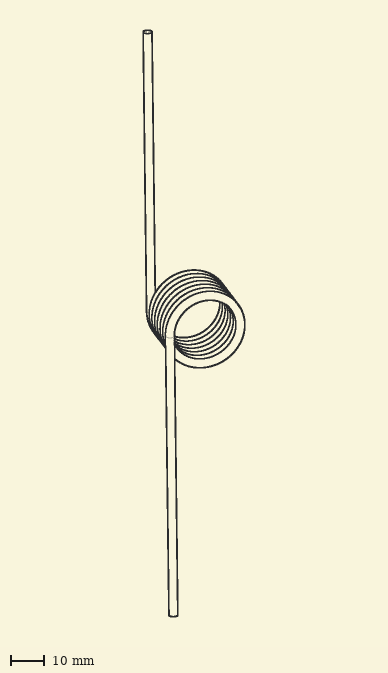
import cadquery as cq
import math


WIRE_DIAMETER = 2.7
OUTER_DIAMETER = 24.94
PITCH = 2.716
TURNS = 7
LEG_END_HEIGHT = 88.834

WIRE_RADIUS = WIRE_DIAMETER / 2
MEAN_RADIUS = (OUTER_DIAMETER - WIRE_DIAMETER) / 2
COIL_LENGTH = PITCH * TURNS
HELIX_SLOPE = PITCH / (2 * math.pi * MEAN_RADIUS)
LEG_DRIFT = LEG_END_HEIGHT * HELIX_SLOPE

WIRE_DIRECTION = cq.Vector(HELIX_SLOPE, 0, -1).normalized()
SECTION_START = cq.Vector(-1, 0, -HELIX_SLOPE)
LEG_LENGTH = math.hypot(LEG_END_HEIGHT, LEG_DRIFT)
COIL_START = cq.Vector(-COIL_LENGTH / 2, -MEAN_RADIUS, 0)
COIL_END = cq.Vector(COIL_LENGTH / 2, -MEAN_RADIUS, 0)


def wire_section(center):
    """Round wire section at a point, square to the wire."""
    plane = cq.Plane(origin=center, xDir=SECTION_START, normal=WIRE_DIRECTION)
    return cq.Workplane(plane).circle(WIRE_RADIUS)


def make_coil():
    """Helical body, starting and ending on the -Y side at the height of its axis."""
    helix = cq.Wire.makeHelix(PITCH, COIL_LENGTH, MEAN_RADIUS)
    helix = helix.rotate(cq.Vector(0, 0, 0), cq.Vector(0, 1, 0), 90)
    helix = helix.rotate(cq.Vector(0, 0, 0), cq.Vector(1, 0, 0), -90)
    helix = helix.translate(cq.Vector(-COIL_LENGTH / 2, 0, 0))
    return wire_section(COIL_START).sweep(cq.Workplane(helix), isFrenet=True)


def make_leg(start):
    """Straight leg of full length, running along the wire direction from its start."""
    return wire_section(start).extrude(LEG_LENGTH)


upper_leg = make_leg(COIL_START - WIRE_DIRECTION * LEG_LENGTH)
lower_leg = make_leg(COIL_END)

result = make_coil().union(upper_leg).union(lower_leg)